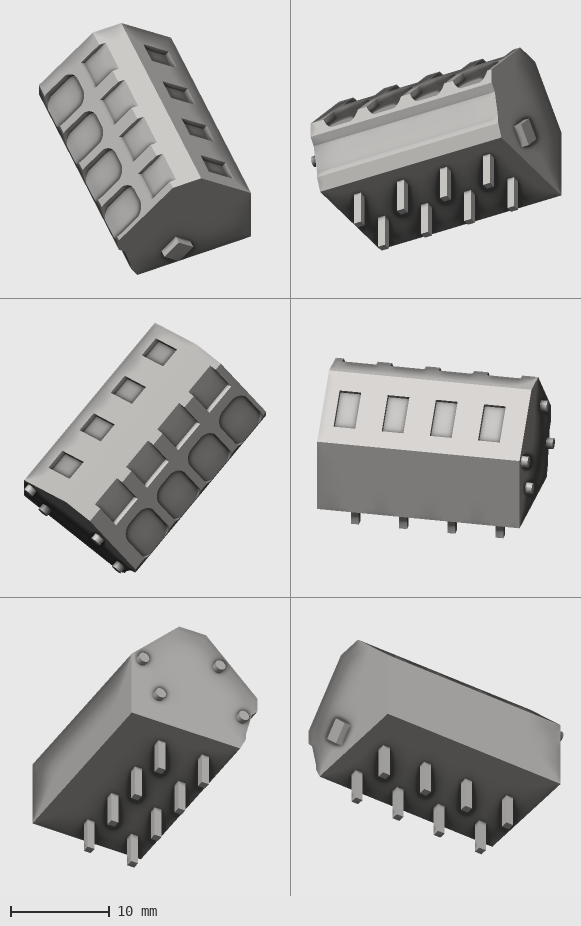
import cadquery as cq
import math


POLE_COUNT = 4
PITCH = 5.0

PLATE_THICKNESS = 1.0
HOUSING_LENGTH = 20.0
BLOCK_DEPTH = 14.5
BLOCK_HEIGHT = 12.98
FRONT_SLOPE_BASE = 7.06
REAR_SLOPE_BASE = 7.52
NOSE_BOTTOM = 5.47
UNDERCUT_DEPTH = 0.65
UNDERCUT_HEIGHT = 4.72
FOOT_DEPTH = 1.35
FOOT_TOP = 1.95
FOOT_BOTTOM = 1.37
BASE_FRONT = 2.0

ENTRY_OFFSET = 2.52
ENTRY_WIDTH = 4.12
ENTRY_TOP = 4.32
ENTRY_BOTTOM = -0.9
ENTRY_DEPTH = 0.8
ENTRY_FLAT_WIDTH = 1.53
ENTRY_CORNER_HEIGHT = 1.17
ENTRY_CORNER_RADIUS = 1.46

BUTTON_OFFSET = 2.43
BUTTON_WIDTH = 3.5
BUTTON_BOTTOM = 5.5
BUTTON_DEPTH = 0.5
BUTTON_WALL_LEAN = 0.14

WINDOW_OFFSET = 2.48
WINDOW_WIDTH = 2.25
WINDOW_BOTTOM = 1.78
WINDOW_LENGTH = 3.92
WINDOW_DEPTH = 0.56

PEG_DIAMETER = 1.12
PEG_LENGTH = 0.7
PEG_CENTRES = [(1.91, 3.78), (4.64, 9.2), (11.5, 3.15), (13.4, 6.98)]

BOSS_SIDE = 2.25
BOSS_LENGTH = 0.8
BOSS_Y = 6.23
BOSS_Z = 2.8

PIN_WIDTH = 0.8
PIN_LENGTH = 3.49
PIN_OFFSET = 2.14
PIN_FRONT_Y = 4.52
PIN_ROW_SPACING = PITCH
PIN_ROWS = [PIN_FRONT_Y, PIN_FRONT_Y + PIN_ROW_SPACING]

HOUSING_END = PLATE_THICKNESS + HOUSING_LENGTH
FRONT_SLOPE_RUN = BLOCK_HEIGHT - FRONT_SLOPE_BASE
REAR_SLOPE_RUN = BLOCK_HEIGHT - REAR_SLOPE_BASE


def pole_positions(offset):
    """X positions of a feature that repeats at every pole, starting `offset` into the housing."""
    return [PLATE_THICKNESS + offset + pole * PITCH for pole in range(POLE_COUNT)]


def block_slice(x_start, length):
    """Stretch of the block's cross-section, which the end plate and the housing share."""
    outline = [
        (BLOCK_DEPTH, 0),
        (BLOCK_DEPTH, REAR_SLOPE_BASE),
        (BLOCK_DEPTH - REAR_SLOPE_RUN, BLOCK_HEIGHT),
        (FRONT_SLOPE_RUN, BLOCK_HEIGHT),
        (0, FRONT_SLOPE_BASE),
        (0, NOSE_BOTTOM),
        (UNDERCUT_DEPTH, UNDERCUT_HEIGHT),
        (FOOT_DEPTH, FOOT_TOP),
        (FOOT_DEPTH, FOOT_BOTTOM),
        (BASE_FRONT, 0),
    ]
    return cq.Workplane("YZ", origin=(x_start, 0, 0)).polyline(outline).close().extrude(length)


def front_slope(x):
    """Workplane on the front slope: origin on its lower edge, local Y up the slope."""
    return cq.Workplane(cq.Plane((x, 0, FRONT_SLOPE_BASE), xDir=(1, 0, 0), normal=(0, -1, 1)))


def rear_slope(x):
    """Workplane on the rear slope: origin on its lower edge, local Y up the slope."""
    return cq.Workplane(cq.Plane((x, BLOCK_DEPTH, REAR_SLOPE_BASE), xDir=(-1, 0, 0), normal=(0, 1, 1)))


def wire_entry(x):
    """Cutter for one wire entry: a rectangle whose corners are cut off by arcs."""
    half_width = ENTRY_WIDTH / 2
    half_flat = ENTRY_FLAT_WIDTH / 2
    side_bottom = ENTRY_BOTTOM + ENTRY_CORNER_HEIGHT
    side_top = ENTRY_TOP - ENTRY_CORNER_HEIGHT
    return (
        front_slope(x)
        .workplane(offset=-ENTRY_DEPTH)
        .moveTo(-half_flat, ENTRY_BOTTOM)
        .lineTo(half_flat, ENTRY_BOTTOM)
        .radiusArc((half_width, side_bottom), -ENTRY_CORNER_RADIUS)
        .lineTo(half_width, side_top)
        .radiusArc((half_flat, ENTRY_TOP), -ENTRY_CORNER_RADIUS)
        .lineTo(-half_flat, ENTRY_TOP)
        .radiusArc((-half_width, side_top), -ENTRY_CORNER_RADIUS)
        .lineTo(-half_width, side_bottom)
        .radiusArc((-half_flat, ENTRY_BOTTOM), -ENTRY_CORNER_RADIUS)
        .close()
        .extrude(2 * ENTRY_DEPTH)
    )


def button_recess(x):
    """Cutter for one button recess, whose bottom wall leans back towards the floor.

    It reaches up to where the floor meets the top face.
    """
    floor_exit = FRONT_SLOPE_RUN * math.sqrt(2) + BUTTON_DEPTH
    section = [
        (BUTTON_BOTTOM, 0),
        (BUTTON_BOTTOM + BUTTON_WALL_LEAN, -BUTTON_DEPTH),
        (floor_exit, -BUTTON_DEPTH),
        (floor_exit, BUTTON_DEPTH),
        (BUTTON_BOTTOM, BUTTON_DEPTH),
    ]
    return (
        front_slope(x)
        .transformed(rotate=(90, 90, 0))
        .polyline(section)
        .close()
        .extrude(BUTTON_WIDTH / 2, both=True)
    )


def test_window(x):
    """Cutter for one test window."""
    return (
        rear_slope(x)
        .workplane(offset=-WINDOW_DEPTH)
        .center(0, WINDOW_BOTTOM + WINDOW_LENGTH / 2)
        .rect(WINDOW_WIDTH, WINDOW_LENGTH)
        .extrude(2 * WINDOW_DEPTH)
    )


def make_end_plate():
    """Flat end plate with four round pegs on its outer face."""
    pegs = (
        cq.Workplane("YZ")
        .pushPoints(PEG_CENTRES)
        .circle(PEG_DIAMETER / 2)
        .extrude(-PEG_LENGTH)
    )
    return block_slice(0, PLATE_THICKNESS).union(pegs)


def make_housing():
    """Housing with a wire entry, a button recess and a test window at every pole."""
    housing = block_slice(PLATE_THICKNESS, HOUSING_LENGTH)
    for x in pole_positions(ENTRY_OFFSET):
        housing = housing.cut(wire_entry(x))
    for x in pole_positions(BUTTON_OFFSET):
        housing = housing.cut(button_recess(x))
    for x in pole_positions(WINDOW_OFFSET):
        housing = housing.cut(test_window(x))
    boss = (
        cq.Workplane("YZ", origin=(HOUSING_END, BOSS_Y, BOSS_Z))
        .transformed(rotate=(0, 0, 45))
        .rect(BOSS_SIDE, BOSS_SIDE)
        .extrude(BOSS_LENGTH)
    )
    return housing.union(boss)


def make_pin(x, y):
    """Square solder pin hanging from the underside of the housing."""
    return cq.Workplane("XY", origin=(x, y, 0)).rect(PIN_WIDTH, PIN_WIDTH).extrude(-PIN_LENGTH)


end_plate = make_end_plate()
housing = make_housing()
pins = []
for pin_y in PIN_ROWS:
    for pin_x in pole_positions(PIN_OFFSET):
        pins.append(make_pin(pin_x, pin_y).val())

result = cq.Compound.makeCompound([end_plate.val(), housing.val(), *pins])